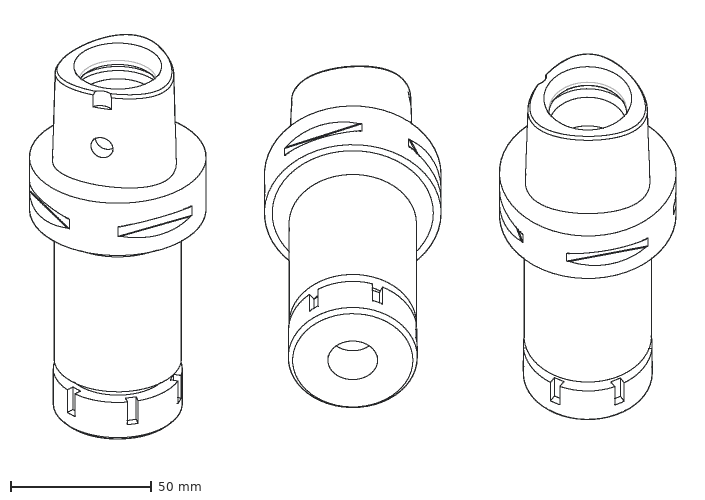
import cadquery as cq
import math

total_height = 143.0
nut_top = 16.3
neck_top = 20.6
sleeve_top = 77.1
flange_bottom = 83.1
flange_top = 105.0

flange_radius = 31.53
sleeve_radius = 22.7
neck_radius = 18.0
cone_top_radius = sleeve_radius + (flange_bottom - sleeve_top)

shank_base_radius = 22.0
shank_lobe = 1.6
shank_taper = 1 / 40
shank_edge_height = 1.3
shank_edge_inset = 0.7
shank_outline_points = 48

through_radius = 8.9
mouth_radius = 15.66
throat_radius = 13.9
groove_flank = 2.1
mouth_depth = 6.1
groove_start_depth = 7.9
groove_end_depth = 13.9
bore_depth = 28.6

keyway_radius = 4.5
keyway_center_y = -22.3
keyway_depth = 6.1
side_hole_radius = 4.08
side_hole_height = 120.7
side_hole_floor_y = -14.3

grip_count = 4
grip_height = 93.1
grip_floor_distance = 27.7
grip_flare_distance = 28.2
grip_floor_width = 4.0
grip_mouth_width = 7.3

nut_radius = 23.0
nut_chamfer = 1.6
nut_slot_count = 6
nut_slot_width = 3.9
nut_slot_bottom = 6.9
nut_slot_floor_distance = 20.2


def lobed_wire(radius, height):
    """Closed three-lobed curve with one lobe pointing along +Y."""
    points = []
    for index in range(shank_outline_points):
        angle = 2 * math.pi * index / shank_outline_points
        x = radius * math.sin(angle) - shank_lobe * math.sin(2 * angle)
        y = radius * math.cos(angle) + shank_lobe * math.cos(2 * angle)
        points.append(cq.Vector(x, y, height))
    return cq.Wire.assembleEdges([cq.Edge.makeSpline(points, periodic=True)])


def make_shank():
    """Tapered lobed shank with a bevelled upper edge."""
    edge_start = total_height - shank_edge_height
    edge_radius = shank_base_radius - shank_taper * (edge_start - flange_top)
    base = lobed_wire(shank_base_radius, flange_top)
    shoulder = lobed_wire(edge_radius, edge_start)
    tip = lobed_wire(edge_radius - shank_edge_inset, total_height)
    taper = cq.Solid.makeLoft([base, shoulder], True)
    bevel = cq.Solid.makeLoft([shoulder, tip], True)
    return cq.Workplane(taper).union(cq.Workplane(bevel))


def make_stem():
    """Flange, cone, sleeve and neck turned about Z."""
    profile = [
        (0, nut_top),
        (neck_radius, nut_top),
        (neck_radius, neck_top),
        (sleeve_radius, neck_top),
        (sleeve_radius, sleeve_top),
        (cone_top_radius, flange_bottom),
        (flange_radius, flange_bottom),
        (flange_radius, flange_top),
        (0, flange_top),
    ]
    return cq.Workplane("XZ").polyline(profile).close().revolve(360, (0, 0), (0, 1))


def make_bore():
    """Conical mouth, snap groove, counterbore and through hole."""
    mouth_bottom = total_height - mouth_depth
    groove_start = total_height - groove_start_depth
    groove_end = total_height - groove_end_depth
    groove_radius = throat_radius + groove_flank
    bore_floor = total_height - bore_depth
    profile = [
        (0, nut_top),
        (through_radius, nut_top),
        (through_radius, bore_floor),
        (throat_radius, bore_floor),
        (throat_radius, groove_end),
        (groove_radius, groove_end + groove_flank),
        (groove_radius, groove_start - groove_flank),
        (throat_radius, groove_start),
        (throat_radius, mouth_bottom),
        (mouth_radius, total_height),
        (0, total_height),
    ]
    return cq.Workplane("XZ").polyline(profile).close().revolve(360, (0, 0), (0, 1))


def make_keyway():
    """Round-backed notch in the rim of the shank."""
    return (
        cq.Workplane("XY", origin=(0, keyway_center_y, total_height - keyway_depth))
        .circle(keyway_radius)
        .extrude(keyway_depth)
    )


def make_side_hole():
    """Flat-bottomed hole entering the shank from -Y."""
    return (
        cq.Workplane("XZ", origin=(0, side_hole_floor_y, side_hole_height))
        .circle(side_hole_radius)
        .extrude(flange_radius)
    )


def make_grip(angle):
    """Straight flat-bottomed groove that flares open toward the flange rim."""
    half_floor = grip_floor_width / 2
    half_mouth = grip_mouth_width / 2
    profile = [
        (grip_floor_distance, grip_height - half_floor),
        (grip_flare_distance, grip_height - half_floor),
        (flange_radius, grip_height - half_mouth),
        (flange_radius, grip_height + half_mouth),
        (grip_flare_distance, grip_height + half_floor),
        (grip_floor_distance, grip_height + half_floor),
    ]
    groove = cq.Workplane("XZ").polyline(profile).close().extrude(flange_radius, both=True)
    return groove.rotate((0, 0, 0), (0, 0, 1), angle)


def make_holder():
    holder = make_stem().union(make_shank())
    holder = holder.cut(make_bore()).cut(make_keyway()).cut(make_side_hole())
    grip_step = 360 / grip_count
    for index in range(grip_count):
        holder = holder.cut(make_grip(grip_step * (index + 0.5)))
    return holder


def make_nut():
    """Ring below the neck with wrench slots open at its upper face."""
    nut = cq.Workplane("XY").circle(nut_radius).extrude(nut_top)
    nut = nut.faces("<Z").chamfer(nut_chamfer)
    nut = nut.cut(cq.Workplane("XY").circle(through_radius).extrude(nut_top))
    slot_depth = nut_radius - nut_slot_floor_distance
    slot_height = nut_top - nut_slot_bottom
    slot = cq.Workplane("XY").box(slot_depth, nut_slot_width, slot_height, centered=(False, True, False))
    slot = slot.translate((nut_slot_floor_distance, 0, nut_slot_bottom))
    for index in range(nut_slot_count):
        nut = nut.cut(slot.rotate((0, 0, 0), (0, 0, 1), 360 / nut_slot_count * index))
    return nut


holder = make_holder()
nut = make_nut()
result = cq.Compound.makeCompound([holder.val(), nut.val()])